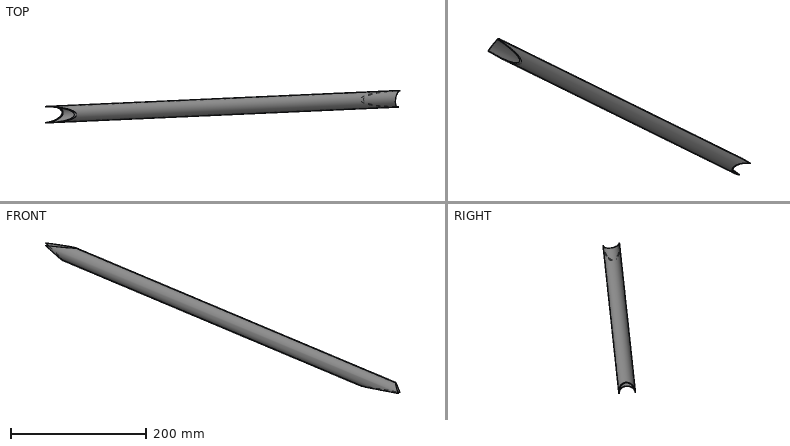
import cadquery as cq
import math

TUBE_DIAMETER = 25.0
WALL = 0.9
START = cq.Vector(0, 0, 0)
END = cq.Vector(523.0, 23.5, -220.0)
START_RIDGE = cq.Vector(0, 1, 0.16)
END_RIDGE = cq.Vector(0.1, 1, 0.07)

START_TOP_ANGLE = 15.8
START_BOTTOM_ANGLE = 20.5
END_TOP_ANGLE = 48.0
END_BOTTOM_ANGLE = 12.6

AXIS = (END - START).normalized()
LENGTH = (END - START).Length
OVERRUN = 2 * TUBE_DIAMETER
WEDGE_LENGTH = LENGTH + 2 * OVERRUN
WEDGE_WIDTH = LENGTH


def make_tube():
    """Straight tube running past both ridges."""
    base = cq.Plane(origin=START - AXIS * OVERRUN, normal=AXIS)
    radius = TUBE_DIAMETER / 2
    return cq.Workplane(base).circle(radius).circle(radius - WALL).extrude(WEDGE_LENGTH)


def make_end_wedge(ridge_point, inward, ridge, top_angle, bottom_angle):
    """Wedge that opens along the tube from its ridge; the tube is kept inside it."""
    normal = ridge if inward.cross(ridge).z < 0 else ridge * -1
    plane = cq.Plane(origin=ridge_point, xDir=inward, normal=normal)
    top = WEDGE_LENGTH * math.tan(math.radians(top_angle))
    bottom = WEDGE_LENGTH * math.tan(math.radians(bottom_angle))
    profile = [(0, 0), (WEDGE_LENGTH, top), (WEDGE_LENGTH, -bottom)]
    return cq.Workplane(plane).polyline(profile).close().extrude(WEDGE_WIDTH / 2, both=True)


start_wedge = make_end_wedge(START, AXIS, START_RIDGE, START_TOP_ANGLE, START_BOTTOM_ANGLE)
end_wedge = make_end_wedge(END, AXIS * -1, END_RIDGE, END_TOP_ANGLE, END_BOTTOM_ANGLE)

result = make_tube().intersect(start_wedge).intersect(end_wedge)